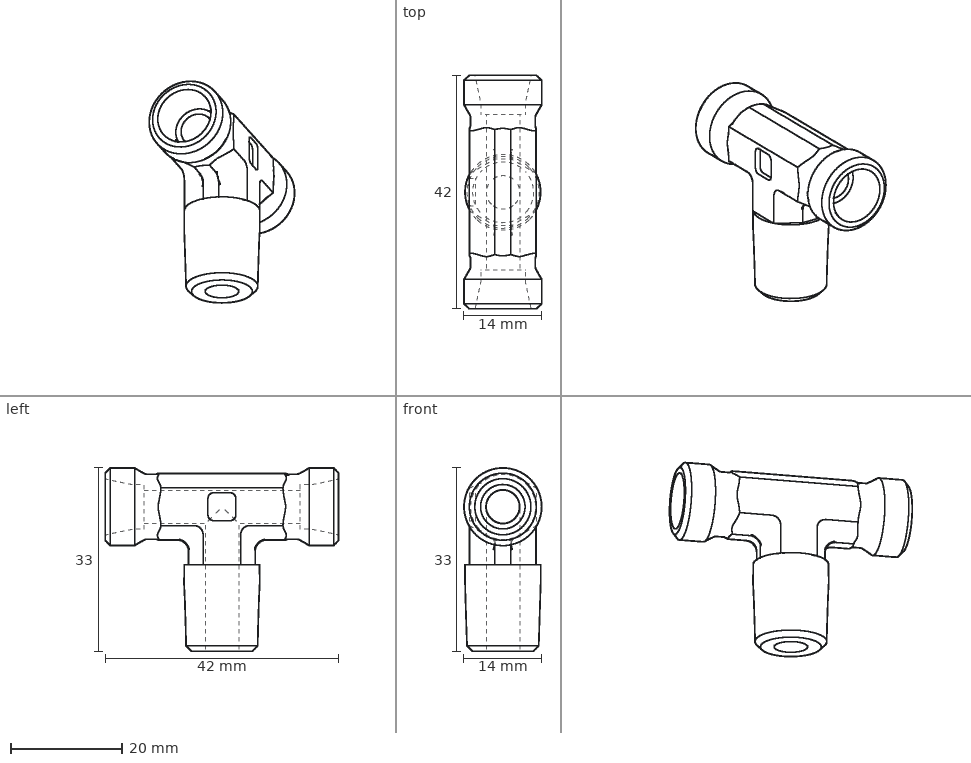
import cadquery as cq
import math

half_across_flats = 6.0
narrow_flat_half = 1.46
slope_angle = 30.0
junction_fillet = 2.0

run_half_length = 21.0
thread_radius = 14.0 / 2
thread_inner_end = 15.68
thread_chamfer_length = 0.9
thread_chamfer_height = 0.97
runout_angle = 30.0
neck_radius = 11.7 / 2
neck_inner_end = 11.98
neck_fillet = 1.0

bore_dia = 6.0
seat_radius = 8.0 / 2
seat_mouth_radius = 10.1 / 2
seat_half_angle = 12.0
seat_depth = 7.0

collar_radius = 13.63 / 2
collar_top = -10.4
taper_top = -14.0
branch_bottom = -26.0
branch_chamfer = 1.0
taper_slope = 1 / 32

recess_side = 5.0
recess_corner_radius = 1.0
recess_depth = 1.0


def eight_sided_prism(plane, length):
    """Prism whose wide flats face +/-X, joined to the narrow flats by sloping flats."""
    half = half_across_flats
    drop = (half - narrow_flat_half) * math.tan(math.radians(slope_angle))
    wide_flat_half = half - drop
    corners = [
        (half, -wide_flat_half),
        (half, wide_flat_half),
        (narrow_flat_half, half),
        (-narrow_flat_half, half),
        (-half, wide_flat_half),
        (-half, -wide_flat_half),
        (-narrow_flat_half, -half),
        (narrow_flat_half, -half),
    ]
    return plane.polyline(corners).close().extrude(length)


def revolve_about_y(profile):
    """Turn a closed (radius, y) profile about the axis of the run."""
    return profile.close().revolve(360, (0, 0, 0), (0, 1, 0))


def run_envelope():
    """Turned outline that rounds the ends of the eight-sided run down to the necks."""
    flare_radius = neck_radius + neck_fillet
    flare_end = neck_inner_end - neck_fillet
    arc_offset = neck_fillet * (1 - math.sqrt(0.5))
    arc_mid = (neck_radius + arc_offset, flare_end + arc_offset)
    outer_radius = 2 * half_across_flats
    profile = (
        cq.Workplane("XY")
        .lineTo(0, neck_inner_end)
        .lineTo(neck_radius, neck_inner_end)
        .threePointArc(arc_mid, (flare_radius, flare_end))
        .lineTo(outer_radius, flare_end)
        .lineTo(outer_radius, 0)
    )
    half = revolve_about_y(profile)
    return half.union(half.mirror("XZ"))


def forged_body():
    """Eight-sided run and branch with filleted inside corners."""
    run_plane = cq.Workplane("XZ", origin=(0, neck_inner_end, 0))
    run = eight_sided_prism(run_plane, 2 * neck_inner_end).intersect(run_envelope())
    branch = eight_sided_prism(cq.Workplane("XY"), collar_top)
    body = run.union(branch)
    margin = 0.1
    reach = half_across_flats + margin
    inner = half_across_flats / 2
    for side in (-1, 1):
        near_y, far_y = sorted((side * inner, side * reach))
        corner_edges = cq.selectors.BoxSelector((-reach, near_y, -reach), (reach, far_y, -inner))
        body = body.edges(corner_edges).fillet(junction_fillet)
    return body


def tube_end():
    """Neck, runout cone and threaded end on the +Y side."""
    slope = math.radians(runout_angle)
    fillet_rise = neck_fillet * (1 - math.cos(slope))
    cone_foot_radius = neck_radius + fillet_rise
    cone_foot = thread_inner_end - (thread_radius - cone_foot_radius) / math.tan(slope)
    neck_outer_end = cone_foot - neck_fillet * math.sin(slope)
    half_slope = slope / 2
    arc_mid = (
        neck_radius + neck_fillet * (1 - math.cos(half_slope)),
        neck_outer_end + neck_fillet * math.sin(half_slope),
    )
    profile = (
        cq.Workplane("XY")
        .lineTo(neck_radius, 0)
        .lineTo(neck_radius, neck_outer_end)
        .threePointArc(arc_mid, (cone_foot_radius, cone_foot))
        .lineTo(thread_radius, thread_inner_end)
        .lineTo(thread_radius, run_half_length - thread_chamfer_length)
        .lineTo(thread_radius - thread_chamfer_height, run_half_length)
        .lineTo(0, run_half_length)
    )
    return revolve_about_y(profile)


def tube_seat():
    """Conical mouth and straight seat for the tube on the +Y side."""
    cone_length = (seat_mouth_radius - seat_radius) / math.tan(math.radians(seat_half_angle))
    seat_bottom = run_half_length - seat_depth
    profile = (
        cq.Workplane("XY")
        .moveTo(0, seat_bottom)
        .lineTo(seat_radius, seat_bottom)
        .lineTo(seat_radius, run_half_length - cone_length)
        .lineTo(seat_mouth_radius, run_half_length)
        .lineTo(0, run_half_length)
    )
    return revolve_about_y(profile)


def taper_thread():
    """Collar and tapered thread at the lower end of the branch."""
    chamfer_top = branch_bottom + branch_chamfer
    taper_end_radius = collar_radius - (taper_top - chamfer_top) * taper_slope
    return (
        cq.Workplane("XZ")
        .moveTo(0, collar_top)
        .lineTo(collar_radius, collar_top)
        .lineTo(collar_radius, taper_top)
        .lineTo(taper_end_radius, chamfer_top)
        .lineTo(taper_end_radius - branch_chamfer, branch_bottom)
        .lineTo(0, branch_bottom)
        .close()
        .revolve(360, (0, 0, 0), (0, 1, 0))
    )


def bores():
    """Straight bore through the run, met by the bore of the branch."""
    run_plane = cq.Workplane("XZ", origin=(0, run_half_length, 0))
    run_bore = run_plane.circle(bore_dia / 2).extrude(2 * run_half_length)
    branch_bore = cq.Workplane("XY").circle(bore_dia / 2).extrude(branch_bottom)
    return run_bore.union(branch_bore)


def side_recess():
    """Shallow square recess with rounded corners in the -X flat."""
    return (
        cq.Workplane("YZ", origin=(-half_across_flats, 0, 0))
        .rect(recess_side, recess_side)
        .extrude(recess_depth)
        .edges("|X")
        .fillet(recess_corner_radius)
    )


solid = forged_body().union(taper_thread())
solid = solid.union(tube_end()).union(tube_end().mirror("XZ"))
solid = solid.cut(tube_seat()).cut(tube_seat().mirror("XZ"))
result = solid.cut(bores()).cut(side_recess())